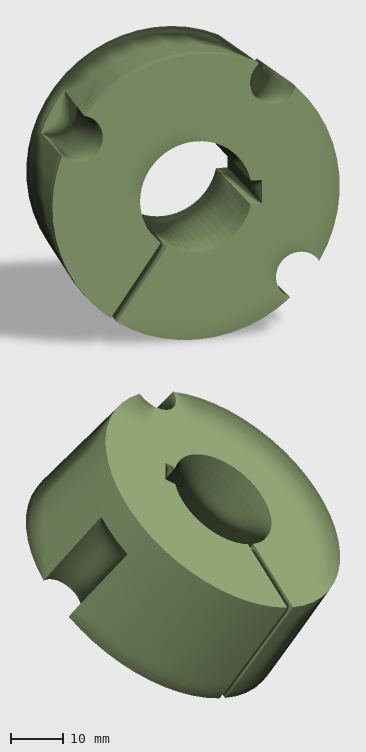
import cadquery as cq

length = 25.4
rim_length = 1.8
large_radius = 28.55
small_radius = 26.85
bore_radius = 11.15

key_width = 4.8
key_reach = 13.15

notch_radius = 4.7
notch_center_radius = small_radius
through_notch_angle = 55.0
blind_notch_spacing = 95.0
blind_notch_start = 6.45

split_width = 1.55
split_angle = through_notch_angle + 180.0


def make_body():
    """Tapered ring ending in a short cylindrical rim."""
    profile = (
        cq.Workplane("XY")
        .moveTo(0, bore_radius)
        .lineTo(0, small_radius)
        .lineTo(length - rim_length, large_radius)
        .lineTo(length, large_radius)
        .lineTo(length, bore_radius)
        .close()
    )
    return profile.revolve(360, (0, 0, 0), (1, 0, 0))


def radial_slot(width, reach, angle):
    """Full-length slot from the axis outwards, turned to the given angle."""
    slot = cq.Workplane("XY").box(length, reach, width, centered=(False, False, True))
    return slot.rotate((0, 0, 0), (1, 0, 0), angle)


def screw_notch(angle, start):
    """Round notch from X = start to the large end."""
    notch = (
        cq.Workplane("YZ", origin=(start, 0, 0))
        .center(notch_center_radius, 0)
        .circle(notch_radius)
        .extrude(length - start)
    )
    return notch.rotate((0, 0, 0), (1, 0, 0), angle)


result = make_body()
result = result.cut(radial_slot(key_width, key_reach, 0))
result = result.cut(radial_slot(split_width, 2 * large_radius, split_angle))
result = result.cut(screw_notch(through_notch_angle, 0))
for side in (-1, 1):
    blind_angle = through_notch_angle + side * blind_notch_spacing
    result = result.cut(screw_notch(blind_angle, blind_notch_start))